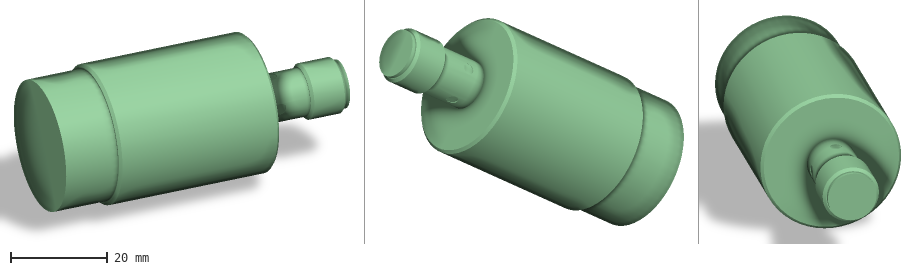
import cadquery as cq


total_length = 67.8
nose_diameter = 28.1
nose_length = 11.7
body_diameter = 30.0
body_length = 36.2
neck_diameter = 10.4
collar_diameter = 12.0
collar_length = 8.1
lip_length = 0.9
edge_chamfer = 0.6

window_diameter = 2.5
window_count = 4
window_setback = 15.7
window_floor_radius = 5.0

body_start = nose_length
neck_start = body_start + body_length
collar_start = total_length - lip_length - collar_length
window_position = total_length - window_setback


def cylinder_along_y(diameter, start, length):
    """Plain cylinder on the Y axis, running from start towards +Y."""
    base = cq.Plane(origin=(0, start, 0), xDir=(1, 0, 0), normal=(0, 1, 0))
    return cq.Workplane(base).circle(diameter / 2).extrude(length)


def chamfered_cylinder(diameter, start, length):
    """Cylinder on the Y axis with both end edges chamfered."""
    return cylinder_along_y(diameter, start, length).edges("%CIRCLE").chamfer(edge_chamfer)


def window_cutter(angle):
    """Radial cutter for one window, turned about the Y axis by angle degrees."""
    cutter_height = neck_diameter / 2
    cutter = (
        cq.Workplane("XY", origin=(0, window_position, window_floor_radius))
        .circle(window_diameter / 2)
        .extrude(cutter_height)
    )
    return cutter.rotate((0, 0, 0), (0, 1, 0), angle)


nose = cylinder_along_y(nose_diameter, 0, nose_length)
body = chamfered_cylinder(body_diameter, body_start, body_length)
neck = cylinder_along_y(neck_diameter, neck_start, total_length - neck_start)
collar = chamfered_cylinder(collar_diameter, collar_start, collar_length)

result = nose.union(body).union(neck).union(collar)

for index in range(window_count):
    result = result.cut(window_cutter(index * 360 / window_count))